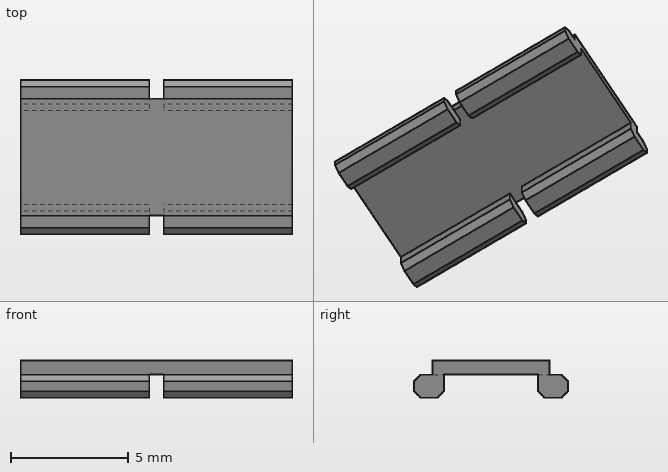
import cadquery as cq
import math

length = 11.6
overall_width = 6.6
overall_height = 1.6

plate_width = 5.0
plate_thickness = 0.6

rail_width = 1.3
rail_gap = 0.6

rail_height = overall_height - plate_thickness
rail_chamfer = rail_height * (1 - 1 / math.sqrt(2))
rail_outer_y = overall_width / 2
rail_inner_y = rail_outer_y - rail_width
segment_length = (length - rail_gap) / 2
segment_offset = (rail_gap + segment_length) / 2


def make_plate():
    """Flat plate resting on top of the rails."""
    return (
        cq.Workplane("XY")
        .workplane(offset=rail_height)
        .rect(length, plate_width)
        .extrude(plate_thickness)
    )


def make_rail_segment(x_center, side):
    """One rail segment; side is +1 for the +Y rail and -1 for the -Y rail."""
    outline = [
        (side * rail_inner_y, rail_height),
        (side * rail_inner_y, rail_chamfer),
        (side * (rail_inner_y + rail_chamfer), 0),
        (side * (rail_outer_y - rail_chamfer), 0),
        (side * rail_outer_y, rail_chamfer),
        (side * rail_outer_y, rail_height - rail_chamfer),
        (side * (rail_outer_y - rail_chamfer), rail_height),
    ]
    return (
        cq.Workplane("YZ")
        .workplane(offset=x_center - segment_length / 2)
        .polyline(outline)
        .close()
        .extrude(segment_length)
    )


result = make_plate()
for side in (1, -1):
    for x_center in (-segment_offset, segment_offset):
        result = result.union(make_rail_segment(x_center, side))